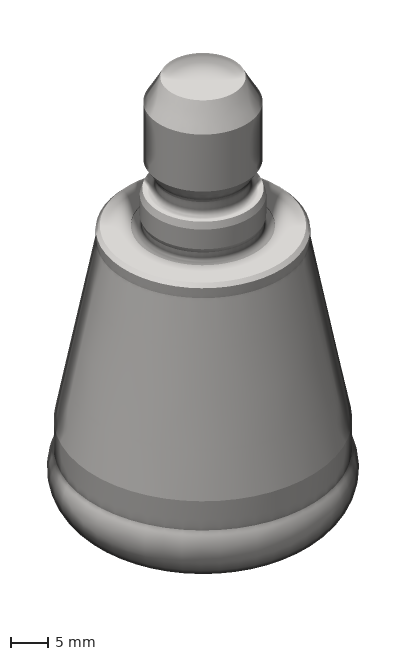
import cadquery as cq
import math

FOOT_TOP_Z = 9.25
SKIRT_TOP_Z = 13.95
CONE_TOP_Z = 42.9
HOUSING_TOP_Z = 45.05
COLLAR_TAPER_Z = 46.2
COLLAR_BOTTOM_Z = 46.85
SHOULDER_Z = 50.0
COLLAR_TOP_Z = 51.05
NECK_TOP_Z = 53.1
UNDERCUT_Z = 53.55
HEAD_BOTTOM_Z = 55.8
HEAD_TOP_Z = 65.0
TOTAL_HEIGHT = 69.0

SKIRT_RADIUS = 20.0
FOOT_RADIUS = 20.9
FOOT_OVERHANG = FOOT_RADIUS - SKIRT_RADIUS

RIM_RADIUS = 28.8 / 2
RIM_CHAMFER = 0.55
RECESS_RADIUS = 9.65
RECESS_DEPTH = 0.15
RECESS_FLOOR_Z = HOUSING_TOP_Z - RECESS_DEPTH

STEM_BASE_RADIUS = 16.6 / 2
BASE_FILLET = 0.5
COLLAR_RADIUS = 17.0 / 2
COLLAR_TOP_RADIUS = 8.15
NECK_RADIUS = 13.0 / 2
NECK_FILLET = 0.8
UNDERCUT_RADIUS = 6.55
HEAD_RADIUS = 16.0 / 2
TIP_RADIUS = 5.7


def revolve_about_z(profile):
    """Close a (radius, height) profile and revolve it about the Z axis."""
    return profile.close().revolve(360, (0, 0, 0), (0, 1, 0))


def root_fillet(profile, shaft_radius, floor_z, fillet):
    """Draw the concave arc from a flat floor up into a shaft."""
    arc_offset = fillet * (1 - math.sqrt(0.5))
    return profile.lineTo(shaft_radius + fillet, floor_z).threePointArc(
        (shaft_radius + arc_offset, floor_z + arc_offset),
        (shaft_radius, floor_z + fillet),
    )


def make_foot():
    """Round-edged foot with a flat top on which the housing stands."""
    edge_radius = FOOT_OVERHANG + FOOT_TOP_Z - math.sqrt(2 * FOOT_OVERHANG * FOOT_TOP_Z)
    profile = (
        cq.Workplane("XZ")
        .lineTo(FOOT_RADIUS - edge_radius, 0)
        .threePointArc((FOOT_RADIUS, edge_radius), (SKIRT_RADIUS, FOOT_TOP_Z))
        .lineTo(0, FOOT_TOP_Z)
    )
    return revolve_about_z(profile)


def make_housing():
    """Conical housing turned in one piece with its collared stem."""
    profile = (
        cq.Workplane("XZ")
        .moveTo(0, FOOT_TOP_Z)
        .lineTo(SKIRT_RADIUS, FOOT_TOP_Z)
        .lineTo(SKIRT_RADIUS, SKIRT_TOP_Z)
        .lineTo(RIM_RADIUS, CONE_TOP_Z)
        .lineTo(RIM_RADIUS, HOUSING_TOP_Z - RIM_CHAMFER)
        .lineTo(RIM_RADIUS - RIM_CHAMFER, HOUSING_TOP_Z)
        .lineTo(RECESS_RADIUS, HOUSING_TOP_Z)
        .lineTo(RECESS_RADIUS, RECESS_FLOOR_Z)
    )
    profile = root_fillet(profile, STEM_BASE_RADIUS, RECESS_FLOOR_Z, BASE_FILLET)
    profile = (
        profile.lineTo(STEM_BASE_RADIUS, COLLAR_TAPER_Z)
        .lineTo(COLLAR_RADIUS, COLLAR_BOTTOM_Z)
        .lineTo(COLLAR_RADIUS, SHOULDER_Z)
        .lineTo(COLLAR_TOP_RADIUS, COLLAR_TOP_Z)
    )
    profile = root_fillet(profile, NECK_RADIUS, COLLAR_TOP_Z, NECK_FILLET)
    profile = (
        profile.lineTo(NECK_RADIUS, NECK_TOP_Z)
        .lineTo(UNDERCUT_RADIUS, UNDERCUT_Z)
        .lineTo(HEAD_RADIUS, HEAD_BOTTOM_Z)
        .lineTo(HEAD_RADIUS, HEAD_TOP_Z)
        .lineTo(TIP_RADIUS, TOTAL_HEIGHT)
        .lineTo(0, TOTAL_HEIGHT)
    )
    return revolve_about_z(profile)


foot = make_foot()
housing = make_housing()
result = cq.Compound.makeCompound([foot.val(), housing.val()])